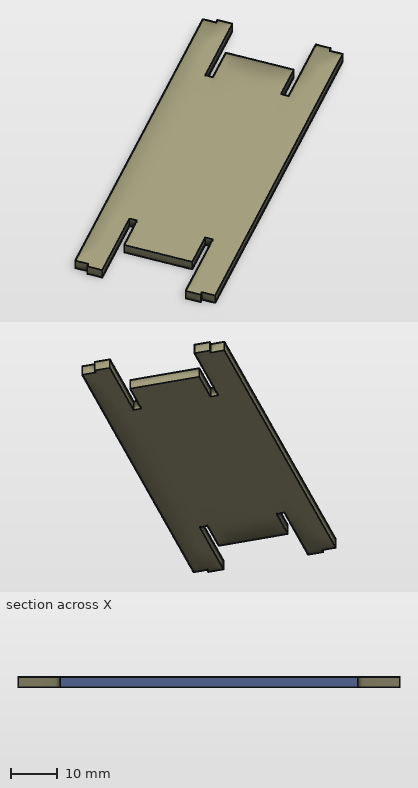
import cadquery as cq

length = 81.6
width = 31.8
thickness = 2.2

tongue_width = 15.5
tongue_length = 63.65

arm_gap = 18.9
web_length = 47.5

step_width = 3.0
step_depth = 0.8


def centred_block(size_x, size_y):
    return cq.Workplane("XY").box(size_x, size_y, thickness)


def end_opening():
    """Clearance between the arms, running through both ends around the tongue."""
    clearance = centred_block(arm_gap, length)
    web = centred_block(arm_gap, web_length)
    tongue = centred_block(tongue_width, tongue_length)
    return clearance.cut(web).cut(tongue)


def corner_steps():
    """Rectangular notches at the four outer corners."""
    return (
        cq.Workplane("XY")
        .rarray(width - step_width, length - step_depth, 2, 2)
        .rect(step_width, step_depth)
        .extrude(thickness / 2, both=True)
    )


plate = centred_block(width, length)
result = plate.cut(end_opening()).cut(corner_steps())